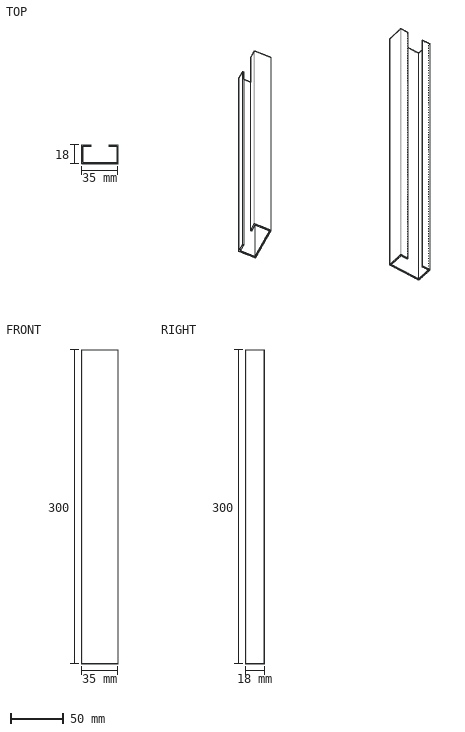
import cadquery as cq

width = 35.0
depth = 18.0
length = 300.0

thickness = 1.3
corner_radius = 0.35
slot_width = 17.5
lip_drop = 0.3

half_width = width / 2
half_slot = slot_width / 2
back = -depth / 2
front = depth / 2
inner_half_width = half_width - thickness
lip_slope = lip_drop / (half_width - half_slot)
lip_root_inner = front - thickness - lip_slope * thickness

half_outline = [
    (0, back),
    (half_width, back),
    (half_width, front),
    (half_slot, front - lip_drop),
    (half_slot, front - lip_drop - thickness),
    (inner_half_width, lip_root_inner),
    (inner_half_width, back + thickness),
    (0, back + thickness),
]

half_channel = (
    cq.Workplane("XY")
    .workplane(offset=-length / 2)
    .polyline(half_outline)
    .close()
    .extrude(length)
    .edges("|Z and >X")
    .fillet(corner_radius)
)
result = half_channel.union(half_channel.mirror("YZ")).clean()